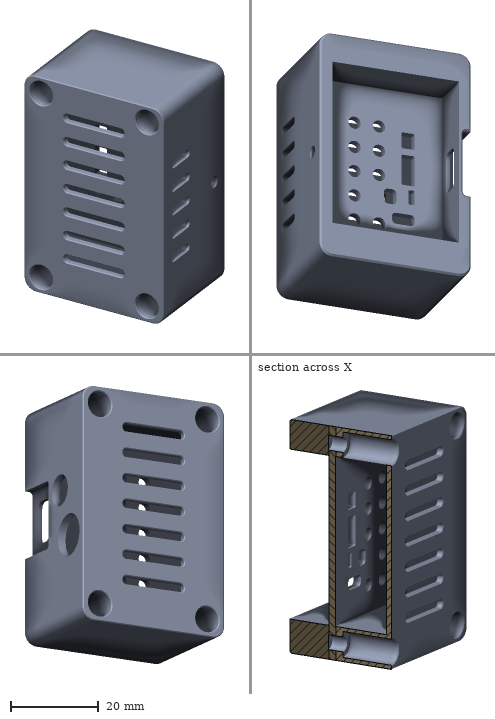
import cadquery as cq

WIDTH = 37.0
DEPTH = 27.4
HEIGHT = 55.2
CORNER_RADIUS = 3.0
CASE_DEPTH = 15.0
PLATE_THICKNESS = 2.0
FRONT_CHAMFER = 0.2
BACK_CHAMFER = 0.45

FRONT_Y = -DEPTH / 2
PLATE_FRONT_Y = FRONT_Y + CASE_DEPTH
PLATE_BACK_Y = PLATE_FRONT_Y + PLATE_THICKNESS
BACK_Y = DEPTH / 2
LEFT_X = -WIDTH / 2

SIDE_WALL = 2.0
FRONT_WALL = 1.5
CAVITY_HEIGHT = 39.95
CAVITY_CENTER_Z = 0.5

SCREW_SPACING_X = 28.05
SCREW_SPACING_Z = 47.05
SCREW_HOLE_DIAMETER = 3.4
COUNTERBORE_DIAMETER = 6.0
SCREW_SEAT = 2.0
COUNTERBORE_DEPTH = CASE_DEPTH - SCREW_SEAT

VENT_SLOT_WIDTH = 2.0
FRONT_SLOT_COUNT = 7
FRONT_SLOT_SPAN = 36.0
VENT_PITCH = FRONT_SLOT_SPAN / (FRONT_SLOT_COUNT - 1)
FRONT_SLOT_LENGTH = 16.0
VENT_CENTER_Z = 1.0
SIDE_SLOT_COUNT = 5
SIDE_SLOT_LENGTH = 8.0
SIDE_SLOT_Y = -6.1

SIDE_PORTS = [(7.4, -2.9, 5.1), (10.0, -7.05, -6.35)]

PLATE_HOLE_DIAMETER = 3.0
PLATE_HOLE_COLUMNS = 2
PLATE_HOLE_ROWS = 5
PLATE_HOLE_CENTER_Z = -VENT_CENTER_Z
OMITTED_PLATE_HOLE = (0, -1)
CUTOUT_LEFT_X = -8.7
CABLE_CUTOUTS = [
    (CUTOUT_LEFT_X, -5.5, 6.55, 10.5, 0.4),
    (CUTOUT_LEFT_X, -5.5, -2.5, 4.95, 0.4),
    (CUTOUT_LEFT_X, -7.2, -7.2, -3.6, 0.4),
    (-4.25, -1.2, -7.75, -4.05, 1.0),
    (CUTOUT_LEFT_X, -3.2, -12.4, -9.7, 1.0),
]

RECESS_WIDTH = 16.0
RECESS_DEPTH = 2.0
RECESS_FILLET = 1.0
RECESS_END_CHAMFER = 0.45
RECESS_IN_PLATE_Y = 0.9
CONNECTOR_Z = 0.6
WINDOW_WIDTH = 5.0
WINDOW_HEIGHT = 10.0
WINDOW_RADIUS = 1.5
WINDOW_Y = 8.0
WINDOW_WALL = 1.0
LID_WALL = RECESS_DEPTH + WINDOW_WALL
CABLE_HOLE_DIAMETER = 3.0
CABLE_HOLE_Y = 8.85
CABLE_HOLE_Z = -0.5


def plane_facing_back(y):
    """XZ plane at the given y whose normal is +Y; its local x axis is -X."""
    return cq.Plane(origin=(0, y, 0), xDir=(-1, 0, 0), normal=(0, 1, 0))


def plane_facing_right(x):
    """YZ plane at x whose normal is +X; local axes are Y and Z."""
    return cq.Plane(origin=(x, 0, 0), xDir=(0, 1, 0), normal=(1, 0, 0))


def block(x0, x1, y0, y1, z0, z1):
    """Axis-aligned box between the given limits."""
    return cq.Workplane("XY").box(x1 - x0, y1 - y0, z1 - z0, centered=False).translate((x0, y0, z0))


def outer_block(y0, y1):
    """Slice of the rounded outer shape between two Y positions."""
    slab = block(-WIDTH / 2, WIDTH / 2, y0, y1, -HEIGHT / 2, HEIGHT / 2)
    return slab.edges("|Y").fillet(CORNER_RADIUS)


def cavity(side_wall, y0, y1):
    """Inner space between the side walls and the end blocks."""
    half_width = WIDTH / 2 - side_wall
    z0 = CAVITY_CENTER_Z - CAVITY_HEIGHT / 2
    return block(-half_width, half_width, y0, y1, z0, z0 + CAVITY_HEIGHT)


def screw_cylinders(diameter, y0, y1):
    """Cylinders along Y at the four screw positions."""
    corners = cq.Workplane(plane_facing_back(y0)).rect(SCREW_SPACING_X, SCREW_SPACING_Z, forConstruction=True)
    return corners.vertices().circle(diameter / 2).extrude(y1 - y0)


def row_positions(count, pitch):
    """Evenly spaced offsets, centred on zero."""
    return [(i - (count - 1) / 2) * pitch for i in range(count)]


def connector_recess():
    """Open-backed recess in the -X side, rounded along its floor, chamfered at its closed end."""
    tool = block(
        LEFT_X - RECESS_DEPTH, LEFT_X + RECESS_DEPTH,
        PLATE_BACK_Y - RECESS_IN_PLATE_Y, BACK_Y + RECESS_DEPTH,
        CONNECTOR_Z - RECESS_WIDTH / 2, CONNECTOR_Z + RECESS_WIDTH / 2,
    )
    tool = tool.edges("|Y and >X").fillet(RECESS_FILLET)
    return tool.faces("<Y").chamfer(RECESS_END_CHAMFER)


def make_case():
    """Front case with vents, screw counterbores and side ports."""
    case = outer_block(FRONT_Y, PLATE_FRONT_Y)
    case = case.cut(cavity(SIDE_WALL, FRONT_Y + FRONT_WALL, PLATE_FRONT_Y))
    case = case.cut(screw_cylinders(SCREW_HOLE_DIAMETER, FRONT_Y, PLATE_FRONT_Y))
    case = case.cut(screw_cylinders(COUNTERBORE_DIAMETER, FRONT_Y, FRONT_Y + COUNTERBORE_DEPTH))
    front_slots = (
        cq.Workplane(plane_facing_back(FRONT_Y))
        .pushPoints([(0, VENT_CENTER_Z + dz) for dz in row_positions(FRONT_SLOT_COUNT, VENT_PITCH)])
        .slot2D(FRONT_SLOT_LENGTH, VENT_SLOT_WIDTH)
        .extrude(FRONT_WALL)
    )
    case = case.cut(front_slots)
    case = case.faces("<Y").chamfer(FRONT_CHAMFER)
    for diameter, y, z in SIDE_PORTS:
        port = cq.Workplane(plane_facing_right(LEFT_X)).center(y, z).circle(diameter / 2).extrude(SIDE_WALL)
        case = case.cut(port)
    side_slots = (
        cq.Workplane(plane_facing_right(WIDTH / 2 - SIDE_WALL))
        .pushPoints([(SIDE_SLOT_Y, dz) for dz in row_positions(SIDE_SLOT_COUNT, VENT_PITCH)])
        .slot2D(SIDE_SLOT_LENGTH, VENT_SLOT_WIDTH)
        .extrude(SIDE_WALL)
    )
    return case.cut(side_slots)


def make_plate():
    """Divider plate with screw holes, a grid of round holes and cable cutouts."""
    plate = outer_block(PLATE_FRONT_Y, PLATE_BACK_Y)
    plate = plate.cut(screw_cylinders(SCREW_HOLE_DIAMETER, PLATE_FRONT_Y, PLATE_BACK_Y))
    half_rows = PLATE_HOLE_ROWS // 2
    for column in range(PLATE_HOLE_COLUMNS):
        for row in range(-half_rows, half_rows + 1):
            if (column, row) == OMITTED_PLATE_HOLE:
                continue
            x = column * VENT_PITCH
            z = PLATE_HOLE_CENTER_Z + row * VENT_PITCH
            hole = (
                cq.Workplane(plane_facing_back(PLATE_FRONT_Y))
                .center(-x, z)
                .circle(PLATE_HOLE_DIAMETER / 2)
                .extrude(PLATE_THICKNESS)
            )
            plate = plate.cut(hole)
    for left, right, bottom, top, radius in CABLE_CUTOUTS:
        cutout = block(left, right, PLATE_FRONT_Y, PLATE_BACK_Y, bottom, top)
        plate = plate.cut(cutout.edges("|Y").fillet(radius))
    return plate.cut(connector_recess())


def make_lid():
    """Back frame with the connector window and a cable hole."""
    lid = outer_block(PLATE_BACK_Y, BACK_Y).cut(connector_recess())
    lid = lid.faces(">Y").chamfer(BACK_CHAMFER)
    lid = lid.cut(cavity(LID_WALL, PLATE_BACK_Y, BACK_Y))
    window = (
        cq.Workplane(plane_facing_right(LEFT_X))
        .center(WINDOW_Y, CONNECTOR_Z)
        .rect(WINDOW_WIDTH, WINDOW_HEIGHT)
        .extrude(LID_WALL)
        .edges("|X")
        .fillet(WINDOW_RADIUS)
    )
    cable_hole = (
        cq.Workplane(plane_facing_right(WIDTH / 2 - LID_WALL))
        .center(CABLE_HOLE_Y, CABLE_HOLE_Z)
        .circle(CABLE_HOLE_DIAMETER / 2)
        .extrude(LID_WALL)
    )
    return lid.cut(window).cut(cable_hole)


case = make_case()
plate = make_plate()
lid = make_lid()

result = cq.Compound.makeCompound([case.val(), plate.val(), lid.val()])